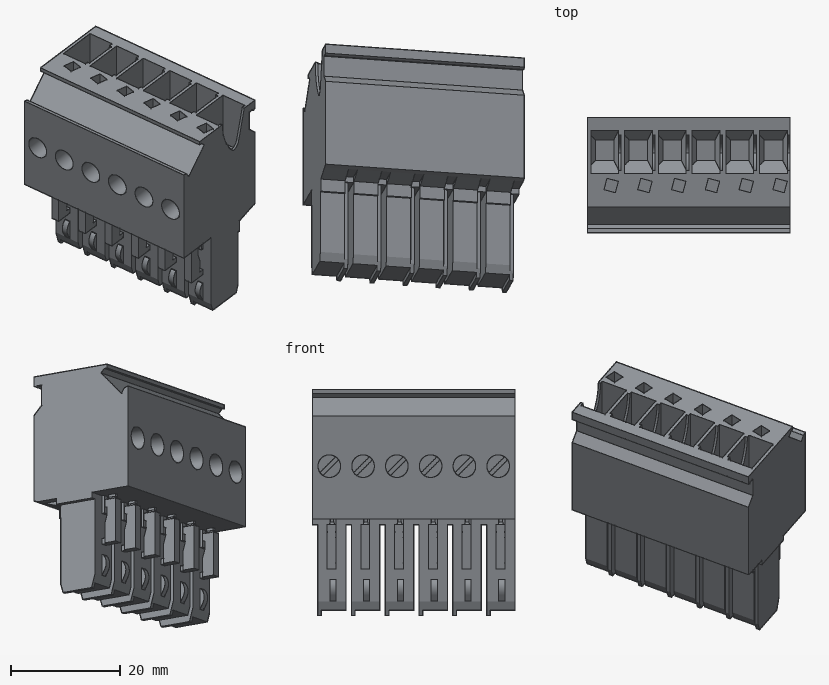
import cadquery as cq
import math

length = 36.9
depth = 21.0
height = 41.15
pole_count = 6
pitch = length / pole_count

body_bottom = 17.6
front_top = 36.35
rear_edge_bottom = 17.83
rear_ramp_y = 19.85
rear_groove_y = 19.35
rear_groove_top = 39.4
rear_groove_slope_top = 35.55
rear_groove_slope_bottom = 33.92
rear_barb_inner = 20.3
rear_barb_tip = (20.45, 39.1)
front_lip_back = (0.8, 36.2)
valley_bottom = (1.5, 35.2)
valley_top = (6.0, 39.7)
top_lip_front = 4.7
top_lip_bottom = 40.43
top_lip_root = 5.25

leg_front = 8.03
leg_back = 16.0
leg_gap = 0.95
leg_root = 16.5
leg_taper = 2.55
tip_front = 8.8
tip_back = 15.2
core_bottom = 0.95
wall_thickness = 0.7
core_left = leg_gap + wall_thickness
wall_back = 15.73

band_left = 3.15
band_right = 4.3
band_width = band_right - band_left
rib_front = 7.55
rib_bottom = 14.25

shoulder_back = 16.45
shoulder_ramp_bottom = 16.6

finger_left = 2.68
finger_front = 4.65
finger_back = 7.1
finger_waist = 6.63
waist_start = 12.15
waist_bottom = 13.6
waist_top = 15.1
waist_end = 15.3
finger_top = 16.65
finger_bottom = 8.5
link_top = 9.55
stem_front = 5.15
stem_left = 3.25
stem_right = 3.85
flare_top = 17.1
flare_spread = 0.15

bump_top = 6.55
bump_bottom = 2.65
bump_arc_top_y = 7.9
bump_arc_middle = (7.15, 5.25)
bump_arc_end = (7.35, 3.83)
bump_overlap = 0.4

screw_x = pitch / 2
screw_z = 27.2
screw_diameter = 4.1
screw_depth = 6.18
slot_width = 0.8
slot_depth = 0.82
slot_angle = 45.0

funnel_left = 0.6
funnel_right = 5.7
funnel_front = 10.75
funnel_back = 18.55
floor_left = 1.45
floor_right = 4.8
floor_front = 13.15
floor_back = 16.92
funnel_depth = 12.35
left_slope_height = 0.82
right_slope_height = 1.73

notch_front = 11.35
notch_front_radius = 10.83
notch_back = 17.83
notch_back_foot = (16.1, 34.6)
notch_floor_middle = (15.5, 33.8)

pocket_x = 4.32
pocket_y = 8.6
pocket_side = 2.15
pocket_depth = 4.1
pocket_turn = -15.0


def box(x0, x1, y0, y1, z0, z1):
    """Box between two opposite corners."""
    return cq.Workplane("XY").box(x1 - x0, y1 - y0, z1 - z0, centered=False).translate((x0, y0, z0))


def along_x(points, x0, width):
    """Extrude a closed (y, z) outline along X from x0."""
    return cq.Workplane("YZ", origin=(x0, 0, 0)).polyline(points).close().extrude(width)


def make_housing():
    outline = [
        (0, body_bottom),
        (0, front_top),
        front_lip_back,
        valley_bottom,
        valley_top,
        (top_lip_root, top_lip_bottom),
        (top_lip_front, top_lip_bottom),
        (top_lip_front, height),
        (depth, height),
        (depth, rear_groove_top),
        rear_barb_tip,
        (rear_barb_inner, rear_groove_top),
        (rear_groove_y, rear_groove_top),
        (rear_groove_y, rear_groove_slope_top),
        (depth, rear_groove_slope_bottom),
        (depth, rear_edge_bottom),
        (rear_ramp_y, body_bottom),
    ]
    housing = along_x(outline, 0, length)
    leg_base = box(0, length, leg_front, leg_back, leg_root, body_bottom)
    return housing.union(leg_base)


def make_leg():
    tapered = [
        (tip_front, 0),
        (leg_front, leg_taper),
        (leg_front, leg_root),
        (leg_back, leg_root),
        (leg_back, leg_taper),
        (tip_back, 0),
    ]
    leg = along_x(tapered, leg_gap, pitch - leg_gap)
    below_core = box(core_left, pitch, leg_front, leg_back, 0, core_bottom)
    behind_wall = box(leg_gap, core_left, wall_back, leg_back, 0, leg_root)
    return leg.cut(below_core).cut(behind_wall)


def make_front_rib():
    return box(band_left, band_right, rib_front, leg_front, rib_bottom, body_bottom)


def make_rear_shoulder():
    outline = [
        (wall_back, body_bottom),
        (wall_back, rib_bottom),
        (shoulder_back, rib_bottom),
        (shoulder_back, shoulder_ramp_bottom),
        (rear_ramp_y, body_bottom),
    ]
    return along_x(outline, core_left, pitch - core_left)


def make_finger():
    outline = [
        (finger_front, finger_bottom),
        (finger_back, finger_bottom),
        (finger_back, waist_start),
        (finger_waist, waist_bottom),
        (finger_waist, waist_top),
        (finger_back, waist_end),
        (finger_back, finger_top),
        (finger_front, finger_top),
    ]
    finger = along_x(outline, finger_left, band_right - finger_left)
    link = box(band_left, band_right, finger_waist, leg_front, finger_bottom, link_top)
    stem = box(stem_left, stem_right, stem_front, finger_waist, finger_top, body_bottom)
    stem_width = stem_right - stem_left
    stem_length = finger_waist - stem_front
    stem_middle = ((stem_left + stem_right) / 2, (stem_front + finger_waist) / 2, finger_top)
    flare = (
        cq.Workplane("XY", origin=stem_middle)
        .rect(stem_width + 2 * flare_spread, stem_length + 2 * flare_spread)
        .workplane(offset=flare_top - finger_top)
        .rect(stem_width, stem_length)
        .loft(combine=True)
    )
    return finger.union(link).union(stem).union(flare)


def make_bump():
    return (
        cq.Workplane("YZ", origin=(band_left, 0, 0))
        .moveTo(leg_front + bump_overlap, bump_top)
        .lineTo(bump_arc_top_y, bump_top)
        .threePointArc(bump_arc_middle, bump_arc_end)
        .lineTo(leg_front, bump_bottom)
        .lineTo(leg_front + bump_overlap, bump_bottom)
        .close()
        .extrude(band_width)
    )


def make_screw_hole():
    hole = cq.Workplane("XZ").circle(screw_diameter / 2).extrude(-screw_depth)
    slot_bounds = cq.Workplane("XZ").circle(screw_diameter / 2).extrude(-screw_depth - slot_depth)
    slot = (
        cq.Workplane("XZ", origin=(0, screw_depth, 0))
        .transformed(rotate=(0, 0, slot_angle))
        .rect(screw_diameter, slot_width)
        .extrude(-slot_depth)
        .intersect(slot_bounds)
    )
    return hole.union(slot).translate((screw_x, 0, screw_z))


def make_funnel():
    floor = height - funnel_depth
    lengthwise = [
        (floor_front, floor),
        (floor_back, floor),
        (funnel_back, floor + funnel_back - floor_back),
        (funnel_back, height),
        (funnel_front, height),
        (funnel_front, floor + floor_front - funnel_front),
    ]
    crosswise = [
        (floor_left, floor),
        (floor_right, floor),
        (funnel_right, floor + right_slope_height),
        (funnel_right, height),
        (funnel_left, height),
        (funnel_left, floor + left_slope_height),
    ]
    wedge = along_x(lengthwise, 0, pitch)
    return wedge.intersect(cq.Workplane("XZ").polyline(crosswise).close().extrude(-depth))


def make_notch():
    def front_wall(angle):
        """Point on the curved front wall, angle in degrees below horizontal."""
        turn = math.radians(angle)
        y = notch_front + notch_front_radius * (1 - math.cos(turn))
        return (y, height - notch_front_radius * math.sin(turn))

    return (
        cq.Workplane("YZ", origin=(funnel_right, 0, 0))
        .moveTo(notch_back, height)
        .lineTo(*notch_back_foot)
        .threePointArc(notch_floor_middle, front_wall(45))
        .threePointArc(front_wall(22.5), front_wall(0))
        .close()
        .extrude(pitch - funnel_right)
    )


def make_pocket():
    return (
        cq.Workplane("XY", origin=(pocket_x, pocket_y, height))
        .transformed(rotate=(0, 0, pocket_turn))
        .rect(pocket_side, pocket_side)
        .extrude(-pocket_depth)
    )


result = make_housing()
added = [make_leg(), make_front_rib(), make_rear_shoulder(), make_finger(), make_bump()]
removed = [make_screw_hole(), make_funnel(), make_notch(), make_pocket()]
for pole in range(pole_count):
    offset = (pole * pitch, 0, 0)
    for feature in added:
        result = result.union(feature.translate(offset))
    for feature in removed:
        result = result.cut(feature.translate(offset))